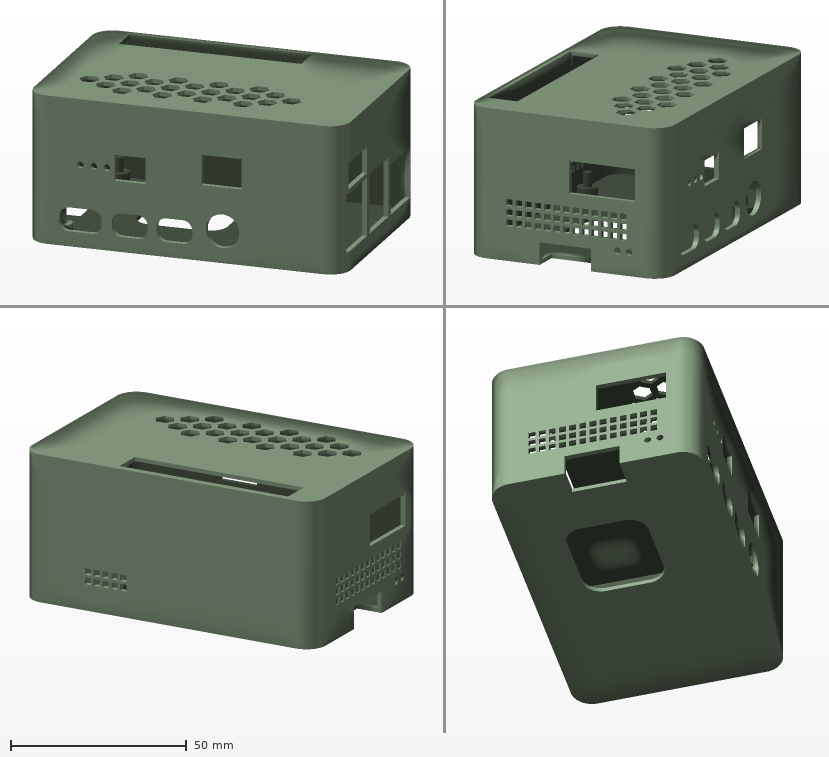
import cadquery as cq
import math

length = 95.6
width = 62.4
height = 44.5
corner_radius = 6.2
wall = 1.5
floor_thickness = 1.2
lid_thickness = 1.2
lip_depth = 2.7
lip_width = 1.2
seam_z = height - lid_thickness

mount_center_x = -10.4
mount_pitch_x = 58.0
mount_pitch_y = 49.05
post_diameter = 6.0
post_top_z = 4.7
pin_diameter = 2.5
pin_top_z = 9.0

cutout_center = (-10.7, 3.6)
cutout_size = (27.2, 24.3)
cutout_radius = 5.6
card_slot_center_y = 0.2
card_slot_width = 16.2
card_slot_height = 6.7
card_slot_depth = 8.0

button_holes_x = -27.6
button_holes_z = 24.8
button_hole_pitch = 4.0
button_hole_count = 3
small_hole_diameter = 2.0
small_window = (-16.6, 25.05, 9.5, 7.7)
large_window = (11.0, 27.25, 12.0, 9.1)
port_bottom_z = 4.5
power_port = (-31.6, 12.8, 7.2)
video_ports = [(-16.7, 10.8, 7.1), (-3.25, 10.8, 7.1)]
port_radius = 3.0
audio_hole_x = 11.3
audio_hole_z = 9.6
audio_hole_diameter = 10.0

side_window = (-11.4, 27.0, 20.65, 9.7)
vent_square = 2.0
vent_columns = 13
vent_rows = 3
vent_span_y = 35.95
vent_pitch = vent_span_y / (vent_columns - 1)
vent_center_y = -0.1
vent_center_z = 14.2
status_holes_y = -18.1
status_holes_z = 7.0
status_hole_pitch = 3.6

socket_bottom_z = 5.9
sockets = [
    (-19.2, 16.35, 23.4),
    (-1.0, 16.35, 23.7),
    (17.7, 17.4, 21.0),
]
upper_opening = (-18.7, 28.7, 15.5, 7.8)

back_vent_first_x = 14.6
back_vent_first_z = 8.9
back_vent_pitch = 2.9
back_vent_columns = 5
back_vent_rows = 2

header_slot_center = (-10.4, 24.5)
header_slot_size = (55.0, 9.1)
hexagon_diameter = 6.0
hexagon_gap = 1.8
hexagon_pitch = hexagon_diameter * math.cos(math.radians(30)) + hexagon_gap
hexagon_center = (-4.8, -13.0)


def rounded_block(inset, bottom, top):
    """Case outline moved inwards by inset, from bottom to top."""
    return (
        cq.Workplane("XY", origin=(0, 0, bottom))
        .rect(length - 2 * inset, width - 2 * inset)
        .extrude(top - bottom)
        .edges("|Z")
        .fillet(corner_radius - inset)
    )


def box_at(x, y, z, size_x, size_y, size_z):
    return cq.Workplane("XY", origin=(x, y, z)).box(size_x, size_y, size_z)


def through_wall_x(side, center_y, center_z, size_y, size_z):
    """Rectangular cutter through the -X (side = -1) or +X (side = 1) wall."""
    return box_at(side * (length - wall) / 2, center_y, center_z, 2 * wall, size_y, size_z)


def through_wall_y(side, center_x, center_z, size_x, size_z):
    """Rectangular cutter through the -Y (side = -1) or +Y (side = 1) wall."""
    return box_at(center_x, side * (width - wall) / 2, center_z, size_x, 2 * wall, size_z)


def front_hole(x, z, diameter):
    return cq.Workplane("XZ", origin=(x, -width / 2 + 2 * wall, z)).circle(diameter / 2).extrude(3 * wall)


def side_hole(y, z, diameter):
    return cq.Workplane("YZ", origin=(-length / 2 - wall, y, z)).circle(diameter / 2).extrude(3 * wall)


def centered_steps(count, pitch):
    return [(i - (count - 1) / 2) * pitch for i in range(count)]


def mounts():
    """Board posts with locating pins, one at each board corner."""
    points = [
        (mount_center_x + dx, dy)
        for dx in centered_steps(2, mount_pitch_x)
        for dy in centered_steps(2, mount_pitch_y)
    ]
    posts = cq.Workplane("XY").pushPoints(points).circle(post_diameter / 2).extrude(post_top_z)
    pins = cq.Workplane("XY").pushPoints(points).circle(pin_diameter / 2).extrude(pin_top_z)
    return posts.union(pins)


def cut_floor(body):
    cutout = (
        cq.Workplane("XY", origin=(*cutout_center, 0))
        .box(*cutout_size, 3 * floor_thickness)
        .edges("|Z")
        .fillet(cutout_radius)
    )
    notch = through_wall_x(-1, card_slot_center_y, 0, card_slot_width, 2 * card_slot_height)
    slot = box_at(-length / 2, card_slot_center_y, 0, 2 * card_slot_depth, card_slot_width, 2 * floor_thickness)
    return body.cut(cutout).cut(notch).cut(slot)


def cut_front_wall(body):
    for dx in centered_steps(button_hole_count, button_hole_pitch):
        body = body.cut(front_hole(button_holes_x + dx, button_holes_z, small_hole_diameter))
    for window in (small_window, large_window):
        body = body.cut(through_wall_y(-1, *window))
    for center_x, port_width, port_height in [power_port, *video_ports]:
        center_z = port_bottom_z + port_height / 2
        port = through_wall_y(-1, center_x, center_z, port_width, port_height)
        body = body.cut(port.edges("|Y").fillet(port_radius))
    return body.cut(front_hole(audio_hole_x, audio_hole_z, audio_hole_diameter))


def cut_left_wall(body):
    body = body.cut(through_wall_x(-1, *side_window))
    for dy in centered_steps(vent_columns, vent_pitch):
        for dz in centered_steps(vent_rows, vent_pitch):
            y = vent_center_y + dy
            z = vent_center_z + dz
            body = body.cut(through_wall_x(-1, y, z, vent_square, vent_square))
    for dy in centered_steps(2, status_hole_pitch):
        body = body.cut(side_hole(status_holes_y + dy, status_holes_z, small_hole_diameter))
    return body


def cut_right_wall(body):
    for center_y, socket_width, top_z in sockets:
        center_z = (socket_bottom_z + top_z) / 2
        socket_height = top_z - socket_bottom_z
        body = body.cut(through_wall_x(1, center_y, center_z, socket_width, socket_height))
    return body.cut(through_wall_x(1, *upper_opening))


def cut_back_wall(body):
    for column in range(back_vent_columns):
        for row in range(back_vent_rows):
            x = back_vent_first_x + column * back_vent_pitch
            z = back_vent_first_z + row * back_vent_pitch
            body = body.cut(through_wall_y(1, x, z, vent_square, vent_square))
    return body


def make_housing():
    body = rounded_block(0, 0, seam_z)
    body = body.cut(rounded_block(wall, floor_thickness, height))
    body = body.union(mounts())
    for cut in (cut_floor, cut_front_wall, cut_left_wall, cut_right_wall, cut_back_wall):
        body = cut(body)
    return body


def hexagon_points():
    """Staggered honeycomb: columns of 1, 2, 3, 2, 3, ... 2, 1 holes."""
    column_counts = [1, 2, 3, 2, 3, 2, 3, 2, 3, 2, 1]
    column_pitch = hexagon_pitch * math.cos(math.radians(30))
    column_offsets = centered_steps(len(column_counts), column_pitch)
    return [
        (hexagon_center[0] + dx, hexagon_center[1] + dy)
        for dx, count in zip(column_offsets, column_counts)
        for dy in centered_steps(count, hexagon_pitch)
    ]


def make_lid():
    plate = rounded_block(0, seam_z, height)
    lip = rounded_block(wall, seam_z - lip_depth, seam_z)
    lip = lip.cut(rounded_block(wall + lip_width, seam_z - lip_depth, seam_z))
    slot = box_at(*header_slot_center, height, *header_slot_size, 2 * (lid_thickness + lip_depth))
    vents = (
        cq.Workplane("XY", origin=(0, 0, seam_z))
        .pushPoints(hexagon_points())
        .polygon(6, hexagon_diameter)
        .extrude(lid_thickness)
    )
    return plate.union(lip).cut(slot).cut(vents)


housing = make_housing()
lid = make_lid()

result = cq.Compound.makeCompound([housing.val(), lid.val()])